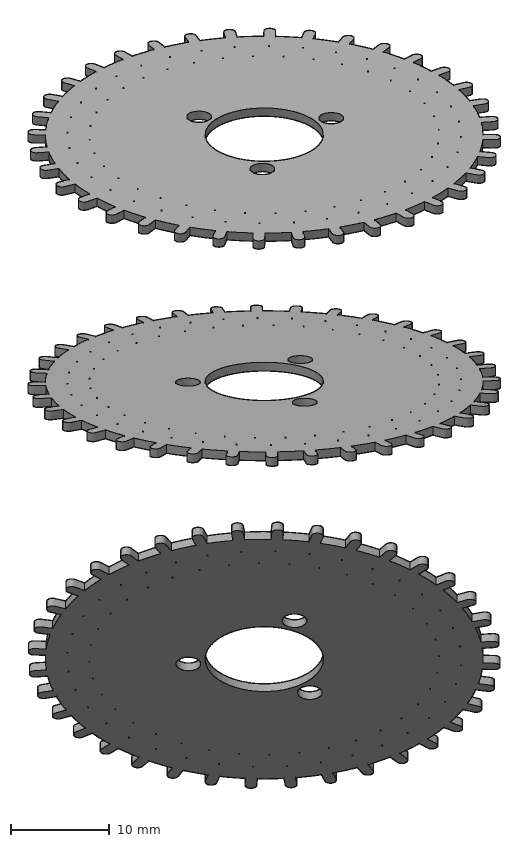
import cadquery as cq

THICKNESS = 0.95
OUTER_RADIUS = 24.0
ROOT_RADIUS = 22.22
BORE_DIAMETER = 12.0

TOOTH_COUNT = 36
TOOTH_PITCH = 360.0 / TOOTH_COUNT
TOOTH_WIDTH = 1.2
TIP_RADIUS = TOOTH_WIDTH / 2
TIP_CENTRE_RADIUS = OUTER_RADIUS - TIP_RADIUS
TOOTH_OVERLAP = 0.5
TOOTH_START_RADIUS = ROOT_RADIUS - TOOTH_OVERLAP

MOUNT_HOLE_COUNT = 3
MOUNT_HOLE_DIAMETER = 2.5
MOUNT_CIRCLE_RADIUS = 7.75
MOUNT_START_ANGLE = 60.0

OUTER_PINHOLE_DIAMETER = 0.1
OUTER_PINHOLE_RADIUS = 20.0
INNER_PINHOLE_DIAMETER = 0.092
INNER_PINHOLE_RADIUS = 17.75
INNER_PINHOLE_START_ANGLE = TOOTH_PITCH / 2


def make_disc():
    return cq.Workplane("XY").circle(ROOT_RADIUS).extrude(THICKNESS)


def make_tooth():
    """One tooth pointing along +X."""
    return (
        cq.Workplane("XY")
        .moveTo(TOOTH_START_RADIUS, -TIP_RADIUS)
        .lineTo(TIP_CENTRE_RADIUS, -TIP_RADIUS)
        .threePointArc((OUTER_RADIUS, 0), (TIP_CENTRE_RADIUS, TIP_RADIUS))
        .lineTo(TOOTH_START_RADIUS, TIP_RADIUS)
        .close()
        .extrude(THICKNESS)
    )


def add_teeth(body):
    tooth = make_tooth()
    for index in range(TOOTH_COUNT):
        body = body.union(tooth.rotate((0, 0, 0), (0, 0, 1), index * TOOTH_PITCH))
    return body


def make_bore():
    return cq.Workplane("XY").circle(BORE_DIAMETER / 2).extrude(THICKNESS)


def make_hole_ring(diameter, ring_radius, start_angle, count):
    """Cutters for a ring of evenly spaced through holes."""
    return (
        cq.Workplane("XY")
        .polarArray(ring_radius, start_angle, 360, count)
        .circle(diameter / 2)
        .extrude(THICKNESS)
    )


result = add_teeth(make_disc())
result = result.cut(make_bore())
result = result.cut(
    make_hole_ring(MOUNT_HOLE_DIAMETER, MOUNT_CIRCLE_RADIUS, MOUNT_START_ANGLE, MOUNT_HOLE_COUNT)
)
result = result.cut(make_hole_ring(OUTER_PINHOLE_DIAMETER, OUTER_PINHOLE_RADIUS, 0, TOOTH_COUNT))
result = result.cut(
    make_hole_ring(
        INNER_PINHOLE_DIAMETER, INNER_PINHOLE_RADIUS, INNER_PINHOLE_START_ANGLE, TOOTH_COUNT
    )
)